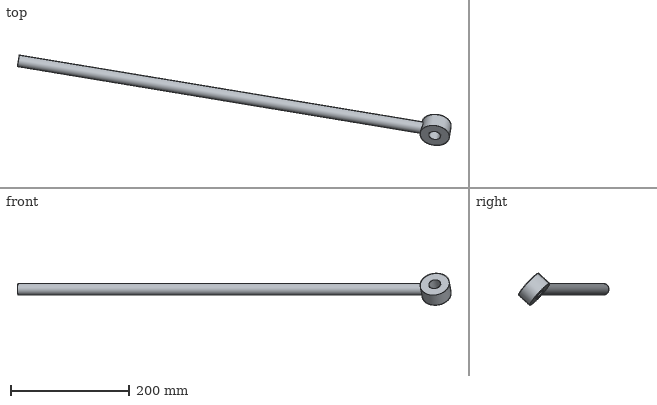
import cadquery as cq

rod_diameter = 20.0
rod_reach = 717.0
eye_diameter = 50.0
eye_thickness = 26.0
bore_diameter = 20.0
rod_yaw = -9.4
eye_tilt = 48


def centred_cylinder(diameter, height):
    """Cylinder on the Z axis, centred on the origin."""
    return cq.Workplane("XY").cylinder(height, diameter / 2)


rod = cq.Workplane("YZ").workplane(offset=-rod_reach).circle(rod_diameter / 2).extrude(rod_reach)

eye = centred_cylinder(eye_diameter, eye_thickness).rotate((0, 0, 0), (1, 0, 0), eye_tilt)
bore = centred_cylinder(bore_diameter, eye_thickness).rotate((0, 0, 0), (1, 0, 0), eye_tilt)

result = rod.union(eye).cut(bore).rotate((0, 0, 0), (0, 0, 1), rod_yaw)